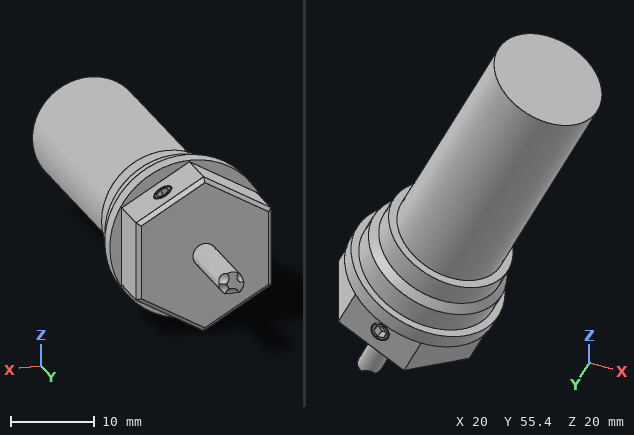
import cadquery as cq
import math

TOTAL_LENGTH = 55.4

BARREL_DIAMETER = 14.0
BARREL_END = 29.95
COLLAR_DIAMETER = 16.2
COLLAR_END = 33.0
SHOULDER_DIAMETER = 18.0
SHOULDER_START = 34.0
SHOULDER_END = 37.0
FLANGE_DIAMETER = 20.0
FLANGE_END = 39.0

NUT_ACROSS_FLATS = 17.0
NUT_END = 45.0
NUT_CHAMFER = 0.5

SCREW_ANGLES = (60, 240)
SCREW_HOLE_DIAMETER = 2.45
SCREW_CHAMFER = 0.15
SOCKET_ACROSS_FLATS = 1.5
SOCKET_DEPTH = 1.2
SCREW_Y = (FLANGE_END + NUT_END - NUT_CHAMFER) / 2

CABLE_DIAMETER = 3.0
DENT_CENTER_OFFSET = 0.2
LARGE_DENT_RADIUS = 0.95
SMALL_DENT_RADIUS = 0.7
LARGE_DENT_ANGLES = (30, -30, -90)
SMALL_DENT_ANGLE = 150


def corner_diameter(across_flats):
    """Diameter through the corners of a regular hexagon."""
    return across_flats / math.cos(math.pi / 6)


def turned_body():
    """Barrel, collar, tapered shoulder and flange as one revolved profile."""
    profile = [
        (0, 0),
        (BARREL_DIAMETER / 2, 0),
        (BARREL_DIAMETER / 2, BARREL_END),
        (COLLAR_DIAMETER / 2, BARREL_END),
        (COLLAR_DIAMETER / 2, COLLAR_END),
        (SHOULDER_DIAMETER / 2, SHOULDER_START),
        (SHOULDER_DIAMETER / 2, SHOULDER_END),
        (FLANGE_DIAMETER / 2, SHOULDER_END),
        (FLANGE_DIAMETER / 2, FLANGE_END),
        (0, FLANGE_END),
    ]
    return cq.Workplane("XY").polyline(profile).close().revolve(360, (0, 0), (0, 1))


def hex_nut():
    """Hexagonal nut behind the flange, chamfered around its rear face."""
    return (
        cq.Workplane("XZ", origin=(0, FLANGE_END, 0))
        .transformed(rotate=(0, 0, 90))
        .polygon(6, corner_diameter(NUT_ACROSS_FLATS))
        .extrude(FLANGE_END - NUT_END)
        .faces(">Y")
        .chamfer(NUT_CHAMFER)
    )


def set_screw_cut(angle):
    """Groove around a flush set screw's chamfered end, and its hex socket."""
    tilt = math.radians(angle)
    normal = (math.cos(tilt), 0, math.sin(tilt))
    apothem = NUT_ACROSS_FLATS / 2
    flat = cq.Plane(
        origin=(normal[0] * apothem, SCREW_Y, normal[2] * apothem),
        xDir=(0, 1, 0),
        normal=normal,
    )
    hole = cq.Workplane(flat).circle(SCREW_HOLE_DIAMETER / 2).extrude(-SCREW_CHAMFER)
    screw_end = (
        cq.Workplane(flat)
        .circle(SCREW_HOLE_DIAMETER / 2)
        .extrude(-SCREW_CHAMFER * 2)
        .faces(cq.selectors.DirectionMinMaxSelector(cq.Vector(*normal)))
        .chamfer(SCREW_CHAMFER)
    )
    socket = (
        cq.Workplane(flat)
        .polygon(6, corner_diameter(SOCKET_ACROSS_FLATS))
        .extrude(-SOCKET_DEPTH)
    )
    return hole.cut(screw_end).union(socket)


def cable_dent(angle, radius):
    """Sphere centred over the rim of the cable end."""
    turn = math.radians(angle)
    center = (
        CABLE_DIAMETER / 2 * math.cos(turn),
        TOTAL_LENGTH + DENT_CENTER_OFFSET,
        CABLE_DIAMETER / 2 * math.sin(turn),
    )
    return cq.Workplane("XY").sphere(radius).translate(center)


def cable():
    """Cable leaving the rear of the nut."""
    body = (
        cq.Workplane("XZ", origin=(0, NUT_END, 0))
        .circle(CABLE_DIAMETER / 2)
        .extrude(NUT_END - TOTAL_LENGTH)
    )
    for angle in LARGE_DENT_ANGLES:
        body = body.cut(cable_dent(angle, LARGE_DENT_RADIUS))
    return body.cut(cable_dent(SMALL_DENT_ANGLE, SMALL_DENT_RADIUS))


result = turned_body().union(hex_nut()).union(cable())
for screw_angle in SCREW_ANGLES:
    result = result.cut(set_screw_cut(screw_angle))